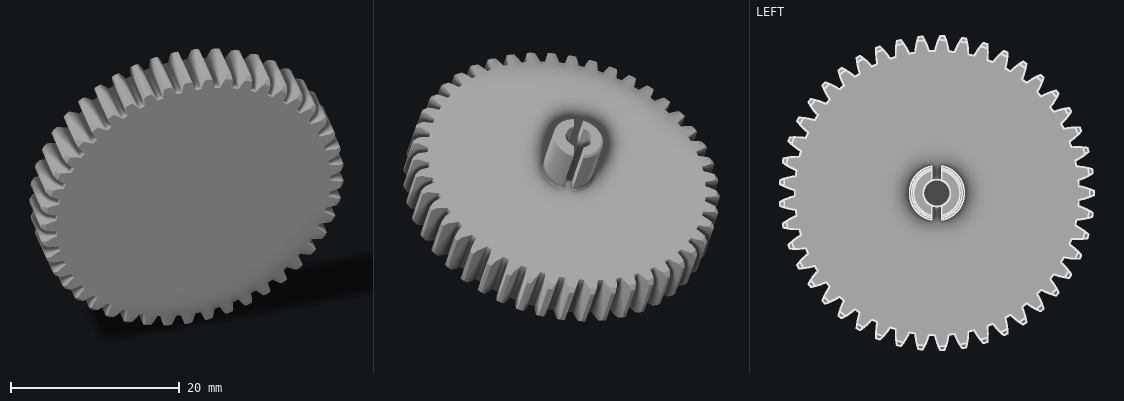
import cadquery as cq
import math

MM_PER_INCH = 25.4
DIAMETRAL_PITCH = 32
TOOTH_COUNT = 45
PRESSURE_ANGLE = math.radians(20)
DEDENDUM_FACTOR = 1.25
BACKLASH = 0.1

module = MM_PER_INCH / DIAMETRAL_PITCH
pitch_radius = module * TOOTH_COUNT / 2
base_radius = pitch_radius * math.cos(PRESSURE_ANGLE)
tip_radius = pitch_radius + module
root_radius = pitch_radius - DEDENDUM_FACTOR * module
tooth_pitch = 2 * math.pi / TOOTH_COUNT
gap_overcut = module / 4

total_length = 12.22
face_width = 6.0
boss_length = total_length - face_width
tip_chamfer = 0.5

boss_radius = 3.0
boss_end_chamfer = 0.25
boss_base_flare = 0.25
bore_radius = 1.6
slot_width = 1.2
bore_depth_in_gear = face_width / 2


def involute(angle):
    """Involute function of a pressure angle in radians."""
    return math.tan(angle) - angle


def half_tooth_angle(radius):
    """Angle between the tooth centre line and its flank at a given radius."""
    flank_pressure_angle = math.acos(base_radius / radius)
    return tooth_pitch / 4 + involute(PRESSURE_ANGLE) - involute(flank_pressure_angle)


def polar(radius, angle):
    return (radius * math.cos(angle), radius * math.sin(angle))


def flank_point(radius, backlash):
    """Point on the gap flank, in a frame whose first axis runs along the gap centre line."""
    tooth_thinning = backlash / (2 * pitch_radius)
    return polar(radius, tooth_pitch / 2 - half_tooth_angle(radius) + tooth_thinning)


def mirrored(point):
    """The matching point on the opposite flank of the gap."""
    return (point[0], -point[1])


def gap_cutter():
    """One tooth gap, as long as the face width, with arc flanks fitted to the involute."""
    root_point = flank_point(root_radius, 0)
    pitch_point = flank_point(pitch_radius, BACKLASH)
    tip_point = flank_point(tip_radius, BACKLASH)
    outer_point = flank_point(tip_radius + gap_overcut, BACKLASH)
    return (
        cq.Workplane("YZ")
        .moveTo(*mirrored(root_point))
        .threePointArc((root_radius, 0), root_point)
        .threePointArc(pitch_point, tip_point)
        .lineTo(*outer_point)
        .lineTo(*mirrored(outer_point))
        .lineTo(*mirrored(tip_point))
        .threePointArc(mirrored(pitch_point), mirrored(root_point))
        .close()
        .extrude(face_width)
    )


def toothed_wheel():
    """Chamfered blank with the tooth gaps cut; one tooth is centred on -Y."""
    blank = cq.Workplane("YZ").circle(tip_radius).extrude(face_width)
    blank = blank.faces("<X or >X").chamfer(tip_chamfer)
    gap = gap_cutter().val()
    tooth_step = math.degrees(tooth_pitch)
    first_gap_angle = 180 + tooth_step / 2
    axis_start = cq.Vector(0, 0, 0)
    axis_end = cq.Vector(1, 0, 0)
    gaps = [
        gap.rotate(axis_start, axis_end, first_gap_angle + index * tooth_step)
        for index in range(TOOTH_COUNT)
    ]
    return blank.cut(cq.Compound.makeCompound(gaps))


def boss():
    """Revolved boss with a chamfered free end and a conical flare at its base."""
    return (
        cq.Workplane("XY")
        .moveTo(0, 0)
        .lineTo(0, boss_radius + boss_base_flare)
        .lineTo(-boss_base_flare, boss_radius)
        .lineTo(-boss_length + boss_end_chamfer, boss_radius)
        .lineTo(-boss_length, boss_radius - boss_end_chamfer)
        .lineTo(-boss_length, 0)
        .close()
        .revolve(360, (0, 0, 0), (1, 0, 0))
    )


def boss_slot():
    """Slot along Z that splits the boss down to the gear face."""
    slot_height = 2 * (boss_radius + boss_base_flare)
    return (
        cq.Workplane("XY")
        .box(boss_length, slot_width, slot_height)
        .translate((-boss_length / 2, 0, 0))
    )


def bore():
    """Blind bore from the boss end into the gear body."""
    return (
        cq.Workplane("YZ")
        .workplane(offset=-boss_length)
        .circle(bore_radius)
        .extrude(boss_length + bore_depth_in_gear)
    )


split_boss = boss().cut(boss_slot())
result = toothed_wheel().union(split_boss).cut(bore())